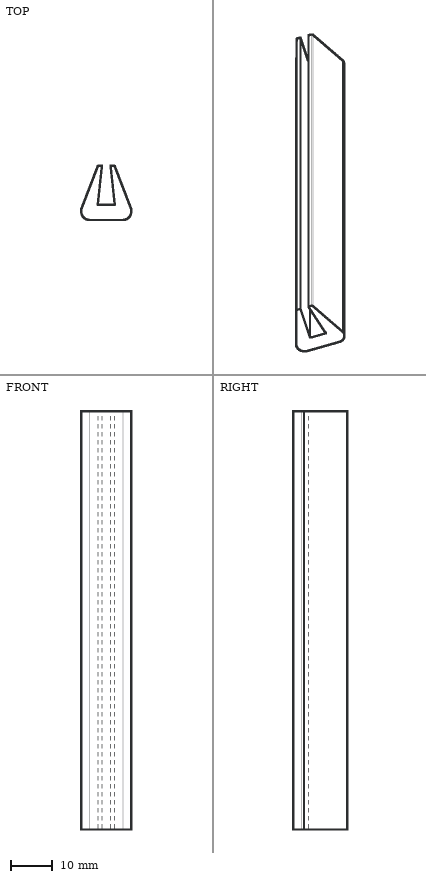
import cadquery as cq

WIDTH = 12.0
DEPTH = 13.0
LENGTH = 100.0

BASE_CORNER_RADIUS = 2.0
SIDE_HEIGHT = 2.6
TIP_OUTER_WIDTH = 4.0
TIP_RADIUS = 0.3

SLOT_FLOOR = 3.7
SLOT_MOUTH_WIDTH = 2.0
SLOT_FLOOR_WIDTH = 4.0


def body():
    """Solid wedge with rounded base corners and rounded outer lip edges."""
    outline = [
        (-WIDTH / 2, 0),
        (WIDTH / 2, 0),
        (WIDTH / 2, SIDE_HEIGHT),
        (TIP_OUTER_WIDTH / 2, DEPTH),
        (-TIP_OUTER_WIDTH / 2, DEPTH),
        (-WIDTH / 2, SIDE_HEIGHT),
    ]
    wedge = cq.Workplane("XY").polyline(outline).close().extrude(LENGTH)
    wedge = wedge.faces("<Y").edges("|Z").fillet(BASE_CORNER_RADIUS)
    return wedge.faces(">Y").edges("|Z").fillet(TIP_RADIUS)


def slot():
    """Tapered slot running the full length, open on the +Y side."""
    outline = [
        (-SLOT_FLOOR_WIDTH / 2, SLOT_FLOOR),
        (SLOT_FLOOR_WIDTH / 2, SLOT_FLOOR),
        (SLOT_MOUTH_WIDTH / 2, DEPTH),
        (-SLOT_MOUTH_WIDTH / 2, DEPTH),
    ]
    return cq.Workplane("XY").polyline(outline).close().extrude(LENGTH)


result = body().cut(slot())